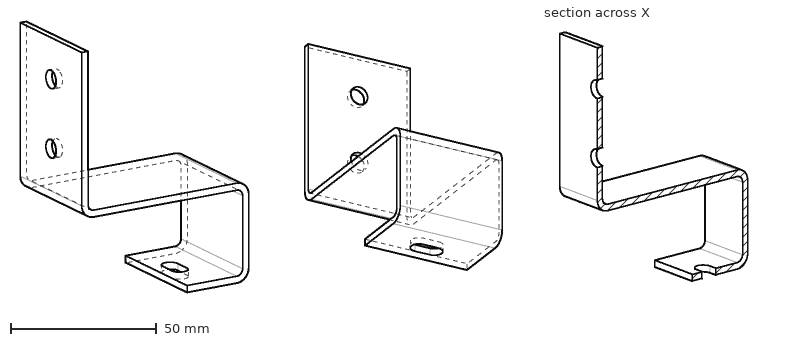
import cadquery as cq

width = 40.0
depth = 67.5
height = 93.5

thickness = 2.5
inner_radius = 2.3
outer_radius = inner_radius + thickness

hook_height = 36.0
lip_length = 25.0

hole_diameter = 6.5
hole_drops = (15.1, 40.0)

slot_width = 6.0
slot_length = 12.0
slot_inset = 7.5

shelf_bottom = hook_height - thickness
lip_edge = depth - lip_length
CUT_MARGIN = 0.9


def bent_strip():
    """Front plate, shelf, rear wall and bottom lip as one bent sheet."""
    profile = (
        cq.Workplane("YZ")
        .moveTo(0, height)
        .lineTo(0, shelf_bottom + outer_radius)
        .radiusArc((outer_radius, shelf_bottom), -outer_radius)
        .lineTo(depth - outer_radius, shelf_bottom)
        .radiusArc((depth - thickness, shelf_bottom - inner_radius), inner_radius)
        .lineTo(depth - thickness, outer_radius)
        .radiusArc((depth - outer_radius, thickness), inner_radius)
        .lineTo(lip_edge, thickness)
        .lineTo(lip_edge, 0)
        .lineTo(depth - outer_radius, 0)
        .radiusArc((depth, outer_radius), -outer_radius)
        .lineTo(depth, hook_height - outer_radius)
        .radiusArc((depth - outer_radius, hook_height), -outer_radius)
        .lineTo(outer_radius, hook_height)
        .radiusArc((thickness, hook_height + inner_radius), inner_radius)
        .lineTo(thickness, height)
        .close()
    )
    return profile.extrude(width / 2, both=True)


def plate_holes():
    """Cylinders through the front plate, one above the other."""
    return (
        cq.Workplane("XZ", origin=(0, -CUT_MARGIN, 0))
        .pushPoints([(0, height - drop) for drop in hole_drops])
        .circle(hole_diameter / 2)
        .extrude(-(thickness + 2 * CUT_MARGIN))
    )


def lip_slot():
    """Round-ended slot through the bottom lip."""
    return (
        cq.Workplane("XY", origin=(0, lip_edge + slot_inset, -CUT_MARGIN))
        .slot2D(slot_length, slot_width)
        .extrude(thickness + 2 * CUT_MARGIN)
    )


result = bent_strip().cut(plate_holes()).cut(lip_slot())